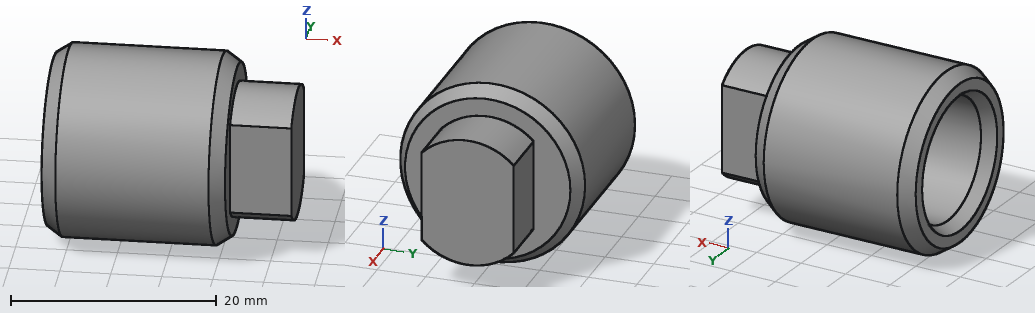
import cadquery as cq
import math

total_length = 24.0
shank_length = 6.0
body_length = total_length - shank_length
body_radius = 9.5

body_chamfer_length = 1.5
body_chamfer_depth = 1.0

bore_radius = 6.5
bore_depth = 8.0
mouth_radius = 7.25
mouth_depth = 1.4

boss_foot_radius = 3.5
boss_tip_radius = 2.7
boss_height = 1.0
flank_hollow = 0.1

shank_radius = 6.65
shank_width = 9.45


def make_body():
    end_radius = body_radius - body_chamfer_depth
    profile = (
        cq.Workplane("XY")
        .moveTo(0, mouth_radius)
        .lineTo(0, end_radius)
        .lineTo(body_chamfer_length, body_radius)
        .lineTo(body_length - body_chamfer_length, body_radius)
        .lineTo(body_length, end_radius)
        .lineTo(body_length, 0)
        .lineTo(bore_depth, 0)
        .lineTo(bore_depth, bore_radius)
        .lineTo(mouth_depth, bore_radius)
        .close()
    )
    return profile.revolve(360, (0, 0, 0), (1, 0, 0))


def make_boss():
    tip_position = bore_depth - boss_height
    root_position = (bore_depth + body_length) / 2
    flank_width = boss_foot_radius - boss_tip_radius
    flank_length = math.hypot(boss_height, flank_width)
    flank_middle = (
        bore_depth - boss_height / 2 + flank_hollow * flank_width / flank_length,
        (boss_tip_radius + boss_foot_radius) / 2 - flank_hollow * boss_height / flank_length,
    )
    profile = (
        cq.Workplane("XY")
        .moveTo(tip_position, 0)
        .lineTo(tip_position, boss_tip_radius)
        .threePointArc(flank_middle, (bore_depth, boss_foot_radius))
        .lineTo(root_position, boss_foot_radius)
        .lineTo(root_position, 0)
        .close()
    )
    return profile.revolve(360, (0, 0, 0), (1, 0, 0))


def make_shank():
    root_position = (bore_depth + body_length) / 2
    length = total_length - root_position
    base = cq.Workplane("YZ", origin=(root_position, 0, 0))
    flats = base.rect(shank_width, 2 * shank_radius).extrude(length)
    return base.circle(shank_radius).extrude(length).intersect(flats)


result = make_body().union(make_boss()).union(make_shank())